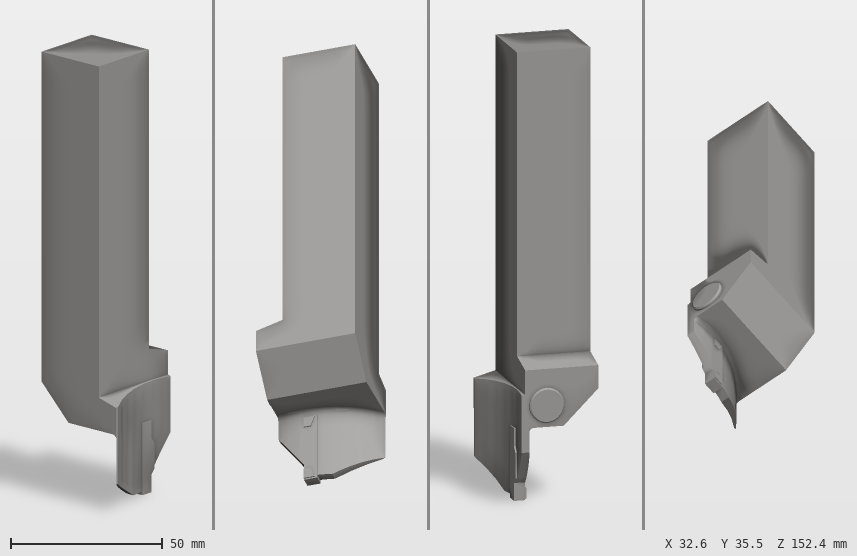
import cadquery as cq
import math

total_height = 152.4
shank_size = 25.1

head_width = 32.6
head_depth = 34.5
head_bottom = 26.8
side_shoulder_top = 38.3
back_shoulder_top = 49.0
shoulder_slope = math.tan(math.radians(15))
corner_chamfer = 11.9

boss_diameter = 11.9
boss_height = 1.0
boss_chamfer = 0.5
boss_x = 17.8
boss_z = 34.3

blade_left = 22.4
blade_right = 25.6
convex_radius = 35.4
convex_center_y = 25.1
concave_radius = 47.2
concave_center_y = 25.9
blade_bottom = 1.2
blade_bottom_front = 15.7
blade_front_bottom = 10.2
blade_back_bottom = 18.6
blade_root_fillet = 1.4

insert_front = 20.5
insert_back = shank_size
insert_length = 24.7
insert_right = 26.2
lug_width = 1.5
lug_back = insert_back + lug_width
lug_inset = 6.1
lug_chamfer = 1.8
pad_height = 0.5
pad_inner_inset = 4.1
pad_outer_inset = 0.5
pad_inner_width = 2.5
pad_outer_width = 3.8


def prism_along_x(points, x_start, x_end):
    """Extrude a (y, z) outline from x_start to x_end."""
    return cq.Workplane("YZ", origin=(x_start, 0, 0)).polyline(points).close().extrude(x_end - x_start)


def prism_along_y(points, depth):
    """Extrude an (x, z) outline from the front face y = 0 to the given depth."""
    return cq.Workplane("XZ").polyline(points).close().extrude(-depth)


def vertical_cylinder(left_x, center_y, radius):
    """Full-height cylinder whose leftmost line lies at left_x."""
    return cq.Workplane("XY").center(left_x + radius, center_y).circle(radius).extrude(total_height)


def make_shank_and_head():
    front_outline = [
        (0, total_height),
        (shank_size, total_height),
        (shank_size, side_shoulder_top),
        (head_width, side_shoulder_top - (head_width - shank_size) * shoulder_slope),
        (head_width, head_bottom),
        (corner_chamfer, head_bottom),
        (0, head_bottom + corner_chamfer),
    ]
    side_outline = [
        (0, total_height),
        (shank_size, total_height),
        (shank_size, back_shoulder_top),
        (head_depth, back_shoulder_top - (head_depth - shank_size) * shoulder_slope),
        (head_depth, head_bottom),
        (0, head_bottom),
    ]
    return prism_along_y(front_outline, head_depth).intersect(prism_along_x(side_outline, 0, head_width))


def make_blade():
    """Blade whose lower back edge meets the insert at the lower corner of its lug."""
    side_outline = [
        (0, head_bottom),
        (head_depth, head_bottom),
        (head_depth, blade_back_bottom),
        (lug_back, lug_inset + lug_chamfer),
        (insert_back, lug_inset),
        (insert_back, blade_bottom),
        (blade_bottom_front, blade_bottom),
        (0, blade_front_bottom),
    ]
    convex_face = vertical_cylinder(blade_left, convex_center_y, convex_radius)
    return prism_along_x(side_outline, blade_left, head_width).intersect(convex_face)


def make_boss():
    boss = (
        cq.Workplane("XZ", origin=(boss_x, head_depth, boss_z))
        .circle(boss_diameter / 2)
        .extrude(-boss_height)
    )
    return boss.faces(">Y").chamfer(boss_chamfer)


def make_insert_blank():
    """Insert without its raised pads; the same shape forms the slot in the blade."""
    lug_top = insert_length - lug_inset
    outline = [
        (insert_front, 0),
        (insert_back, 0),
        (insert_back, lug_inset),
        (lug_back, lug_inset + lug_chamfer),
        (lug_back, lug_top - lug_chamfer),
        (insert_back, lug_top),
        (insert_back, insert_length),
        (insert_front, insert_length),
    ]
    return prism_along_x(outline, blade_left, insert_right)


def make_pad():
    """Raised cutting pad at the lower end of the insert."""
    outline = [
        (insert_back, pad_outer_inset),
        (insert_back, pad_inner_inset),
        (insert_back - pad_inner_width, pad_inner_inset),
        (insert_back - pad_outer_width, pad_outer_inset),
    ]
    return prism_along_x(outline, blade_left - pad_height, blade_left)


def make_holder():
    holder = make_shank_and_head().union(make_blade())
    root_edges = cq.selectors.BoxSelector(
        (blade_left - 1.5, -1.5, head_bottom - 0.2),
        (head_width - 1.5, head_depth - 1.5, head_bottom + 0.2),
    )
    holder = holder.edges("%CIRCLE").edges(root_edges).fillet(blade_root_fillet)
    holder = holder.cut(vertical_cylinder(blade_right, concave_center_y, concave_radius))
    return holder.union(make_boss()).cut(make_insert_blank())


def make_insert():
    lower_pad = make_pad()
    upper_pad = lower_pad.mirror("XY", (0, 0, insert_length / 2))
    return make_insert_blank().union(lower_pad).union(upper_pad)


holder = make_holder()
insert = make_insert()
result = cq.Compound.makeCompound([holder.solids().val(), insert.solids().val()])